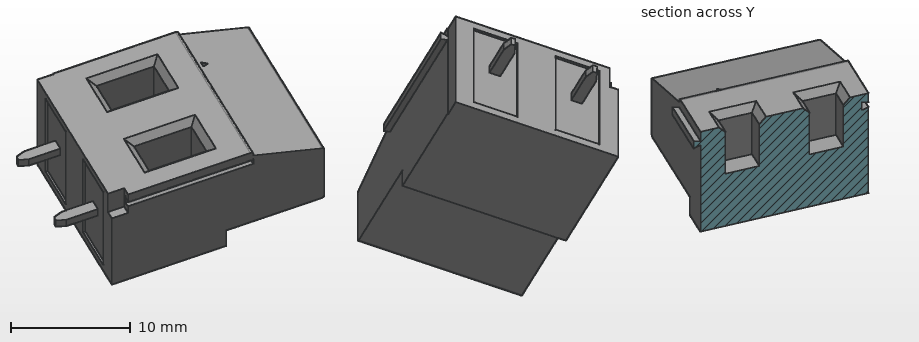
import cadquery as cq


poles = 2
pitch = 7.5
housing_width = poles * pitch
housing_height = 10.5
housing_back = 19.5
base_thickness = 1.5
base_inset = 0.07

heel_back = 10.5
tail_bottom = 1.9
tail_top = 8.0
ridge_back = 13.0
ridge_drop = 0.44
edge_radius = 0.3

dovetail_depth = 0.6
dovetail_wide = 0.8
dovetail_narrow = 0.48
dovetail_z = housing_height - 1.22
dovetail_length = ridge_back - base_thickness

notch_width = 0.78
notch_height = 2.28

opening_width = 4.19
opening_front = 3.77
opening_back = 10.3
throat_width = 3.0
throat_front = 4.45
throat_back = 9.7
funnel_depth = 0.65
opening_depth = 5.0

panel_width = 4.05
panel_height = 9.02
panel_depth = 0.2

pin_length = 3.5
pin_width = 1.0
pin_thickness = 0.8
pin_z = 5.64
tip_length = 0.83
tip_width = 0.4

mark_width = 0.48
mark_length = 0.53
mark_front = ridge_back + 0.48
mark_depth = 0.05

pole_centers = [(pole + 0.5) * pitch for pole in range(poles)]


def make_housing():
    """Side profile with a sloping tail, extruded across the full width."""
    profile = (
        cq.Workplane("YZ")
        .moveTo(base_thickness, 0)
        .lineTo(heel_back, 0)
        .lineTo(heel_back, tail_bottom)
        .lineTo(housing_back, tail_bottom)
        .lineTo(housing_back, tail_top)
        .lineTo(ridge_back, housing_height - ridge_drop)
        .lineTo(ridge_back, housing_height)
        .lineTo(base_thickness, housing_height)
        .close()
        .extrude(housing_width)
    )
    ridge_edge = cq.selectors.NearestToPointSelector((housing_width / 2, ridge_back, housing_height))
    return profile.edges("|X and >Y").fillet(edge_radius).edges(ridge_edge).fillet(edge_radius)


def make_base():
    """Plate in front of the housing, with its upper right corner cut away."""
    plate = cq.Workplane("XY").box(
        housing_width - base_inset, base_thickness, housing_height, centered=False
    ).translate((base_inset, 0, 0))
    notch = cq.Workplane("XY").box(notch_width, base_thickness, notch_height, centered=False)
    return plate.cut(notch.translate((housing_width - notch_width, 0, housing_height - notch_height)))


def make_dovetail(mouth_x):
    """Dovetail bar that widens towards -X from its narrow side at mouth_x."""
    wide_x = mouth_x - dovetail_depth
    return (
        cq.Workplane("XZ", origin=(0, base_thickness, 0))
        .polyline([
            (mouth_x, dovetail_z - dovetail_narrow / 2),
            (mouth_x, dovetail_z + dovetail_narrow / 2),
            (wide_x, dovetail_z + dovetail_wide / 2),
            (wide_x, dovetail_z - dovetail_wide / 2),
        ])
        .close()
        .extrude(-dovetail_length)
    )


def make_opening(center_x):
    """Wire opening: a tapered funnel above a straight blind throat."""
    opening_y = (opening_front + opening_back) / 2
    throat_y = (throat_front + throat_back) / 2
    throat_length = throat_back - throat_front
    funnel = (
        cq.Workplane("XY", origin=(center_x, 0, housing_height))
        .center(0, opening_y)
        .rect(opening_width, opening_back - opening_front)
        .workplane(offset=-funnel_depth)
        .center(0, throat_y - opening_y)
        .rect(throat_width, throat_length)
        .loft(ruled=True)
    )
    throat = (
        cq.Workplane("XY", origin=(center_x, throat_y, housing_height - opening_depth))
        .rect(throat_width, throat_length)
        .extrude(opening_depth - funnel_depth)
    )
    return funnel.union(throat)


def make_panel(center_x):
    """Shallow rectangular recess in the front face."""
    return (
        cq.Workplane("XZ", origin=(center_x, 0, housing_height / 2))
        .rect(panel_width, panel_height)
        .extrude(-panel_depth)
    )


def make_pin(center_x):
    """Flat pin with a tapered tip, standing on the floor of its panel."""
    return (
        cq.Workplane("XY", origin=(center_x, 0, pin_z - pin_thickness / 2))
        .polyline([
            (-pin_width / 2, panel_depth),
            (-pin_width / 2, tip_length - pin_length),
            (-tip_width / 2, -pin_length),
            (tip_width / 2, -pin_length),
            (pin_width / 2, tip_length - pin_length),
            (pin_width / 2, panel_depth),
        ])
        .close()
        .extrude(pin_thickness)
    )


def make_mark(center_x):
    """Shallow triangle sunk into the sloping tail and pointing to the back."""
    slope_run = housing_back - ridge_back
    slope_rise = tail_top - (housing_height - ridge_drop)
    slope_plane = cq.Plane(
        origin=(center_x, ridge_back, housing_height - ridge_drop),
        xDir=(1, 0, 0),
        normal=(0, -slope_rise, slope_run),
    )
    front = mark_front - ridge_back
    return (
        cq.Workplane(slope_plane)
        .polyline([(-mark_width / 2, front), (mark_width / 2, front), (0, front + mark_length)])
        .close()
        .extrude(-mark_depth)
    )


result = make_housing().union(make_base())
result = result.union(make_dovetail(0)).cut(make_dovetail(housing_width))
for pole_x in pole_centers:
    result = result.cut(make_opening(pole_x)).cut(make_panel(pole_x)).union(make_pin(pole_x))
result = result.cut(make_mark(pole_centers[0]))